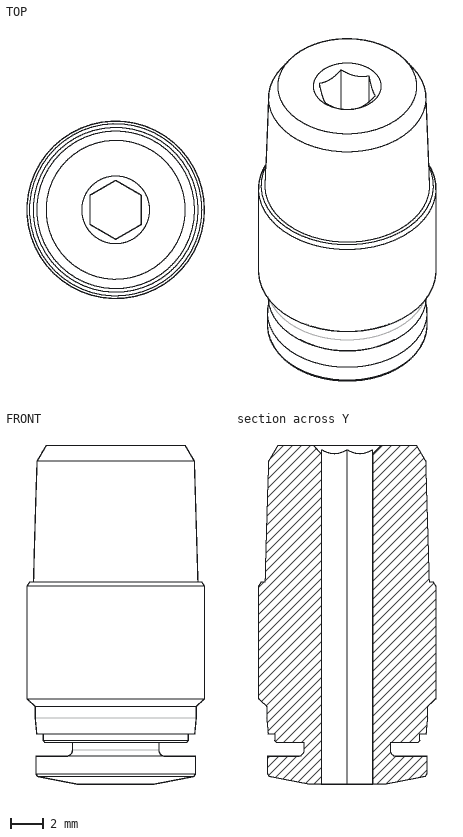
import cadquery as cq
import math

overall_height = 21.0
flange_edge_z = 0.48
flange_bevel_z = 0.65
flange_top_z = 1.75
neck_fillet = 0.38
collar_z = 2.58
collar_bevel = 0.13
skirt_z = 3.1
skirt_taper_top_z = 4.12
body_bevel_z = 4.83
body_z = 5.3
body_top_z = 12.54
body_top_bevel_height = 0.25
shank_top_z = 20.01

bottom_face_diameter = 4.72
flange_diameter = 9.9
flange_bevel = 0.08
neck_diameter = 5.38
collar_diameter = 9.0
skirt_bottom_diameter = 9.8
skirt_diameter = 10.0
body_diameter = 11.0
body_top_bevel_width = 0.17
shank_base_diameter = 10.2
shank_top_diameter = 9.76
top_face_diameter = 8.6

hex_across_flats = 3.15
lead_in_diameter = 4.2
lead_in_half_angle = 45.0


def turned_body():
    """Revolve the half profile, drawn as radius against height."""
    flange_radius = flange_diameter / 2
    neck_radius = neck_diameter / 2
    collar_radius = collar_diameter / 2
    body_radius = body_diameter / 2
    fillet_sag = neck_fillet * (1 - math.sqrt(0.5))
    return (
        cq.Workplane("XZ")
        .lineTo(bottom_face_diameter / 2, 0)
        .lineTo(flange_radius - flange_bevel, flange_edge_z)
        .lineTo(flange_radius, flange_bevel_z)
        .lineTo(flange_radius, flange_top_z)
        .lineTo(neck_radius + neck_fillet, flange_top_z)
        .threePointArc(
            (neck_radius + fillet_sag, flange_top_z + fillet_sag),
            (neck_radius, flange_top_z + neck_fillet),
        )
        .lineTo(neck_radius, collar_z)
        .lineTo(collar_radius - collar_bevel, collar_z)
        .lineTo(collar_radius, collar_z + collar_bevel)
        .lineTo(collar_radius, skirt_z)
        .lineTo(skirt_bottom_diameter / 2, skirt_z)
        .lineTo(skirt_diameter / 2, skirt_taper_top_z)
        .lineTo(skirt_diameter / 2, body_bevel_z)
        .lineTo(body_radius, body_z)
        .lineTo(body_radius, body_top_z - body_top_bevel_height)
        .lineTo(body_radius - body_top_bevel_width, body_top_z)
        .lineTo(shank_base_diameter / 2, body_top_z)
        .lineTo(shank_top_diameter / 2, shank_top_z)
        .lineTo(top_face_diameter / 2, overall_height)
        .lineTo(0, overall_height)
        .close()
        .revolve(360, (0, 0, 0), (0, 1, 0))
    )


def hex_passage():
    """Through hexagon with flats facing +X and -X."""
    across_corners = hex_across_flats / math.cos(math.radians(30))
    return (
        cq.Workplane("XY")
        .transformed(rotate=(0, 0, 30))
        .polygon(6, across_corners)
        .extrude(overall_height)
    )


def lead_in():
    """Cone pointing down from the top face, breaking the hexagon's corners."""
    mouth_radius = lead_in_diameter / 2
    cone_height = mouth_radius / math.tan(math.radians(lead_in_half_angle))
    return cq.Workplane(
        cq.Solid.makeCone(0, mouth_radius, cone_height, pnt=cq.Vector(0, 0, overall_height - cone_height))
    )


result = turned_body().cut(hex_passage()).cut(lead_in())